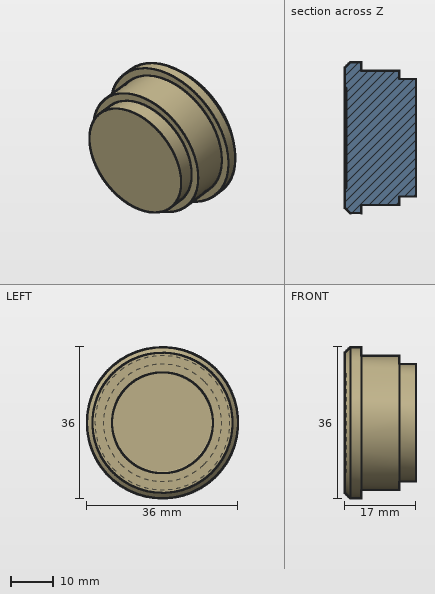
import cadquery as cq

flange_diameter = 36.0
flange_length = 4.0
flange_chamfer = 1.35
body_diameter = 32.0
body_length = 9.0
end_diameter = 28.0
end_length = 4.0

recess_diameter = 24.0
recess_depth = 0.4


def cylinder(start, length, diameter):
    """Solid cylinder along +X that begins at the given X position."""
    return cq.Workplane("YZ", origin=(start, 0, 0)).circle(diameter / 2).extrude(length)


def recess_cutter():
    """Disc with a quarter-round edge, revolved about the X axis."""
    mouth_radius = recess_diameter / 2
    floor_radius = mouth_radius - recess_depth
    return (
        cq.Workplane("XY")
        .lineTo(0, mouth_radius)
        .radiusArc((recess_depth, floor_radius), recess_depth)
        .lineTo(recess_depth, 0)
        .close()
        .revolve(360, (0, 0, 0), (1, 0, 0))
    )


flange = cylinder(0, flange_length, flange_diameter).faces("<X").chamfer(flange_chamfer)
body = cylinder(flange_length, body_length, body_diameter)
end = cylinder(flange_length + body_length, end_length, end_diameter)

result = flange.union(body).union(end).cut(recess_cutter())